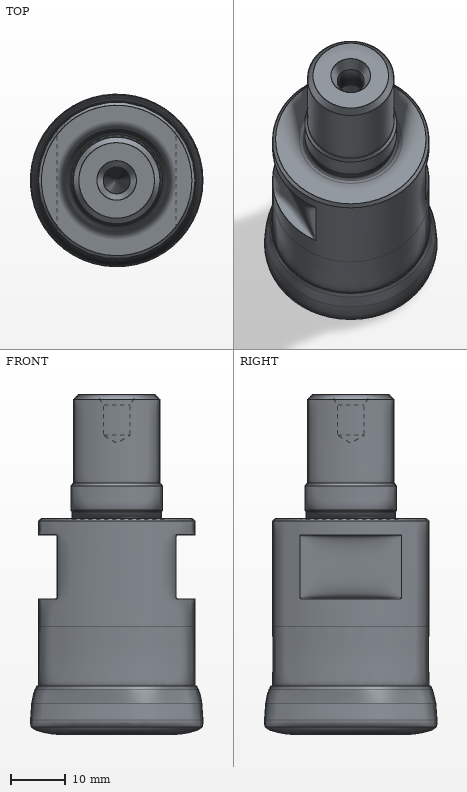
import cadquery as cq
import math

total_height = 63.0
cap_height = 9.0
waist_top = 20.0
shoulder_height = 40.0

barrel_radius = 14.5
waist_bottom_radius = barrel_radius + 0.03
barrel_chamfer_width = 0.55
barrel_chamfer_height = 0.5

relief_outer_radius = 9.5
relief_inner_radius = 8.8
relief_depth = 0.2
neck_radius = 8.25
neck_fillet_height = 0.45

collar_radius = 8.5
collar_bottom = 41.2
collar_lower_chamfer_height = 0.4
collar_top = 46.55
collar_upper_chamfer_height = 0.55
shank_radius = 8.0
shank_chamfer_width = 1.0

centre_hole_radius = 2.49
countersink_radius = 3.65
countersink_half_angle = 30.0
centre_hole_depth = 7.55
drill_half_angle = 59.0

flat_distance = 11.0
flat_bottom = 25.15
flat_top = 37.0
flat_corner_radius = 0.25

cap_rim_radius = 14.75
cap_shoulder_radius = 15.1
cap_shoulder_height = 8.3
cap_side_radius = 15.75
cap_side_height = 5.8
cap_max_radius = 15.97
cap_max_height = 2.7
cap_edge_radius = 15.8
cap_edge_height = 1.4
dome_radius = 14.9
dome_height = 0.8
bottom_face_radius = 10.1

cap_side_bulge = 0.095
cap_edge_bulge = 0.05


def bulged_middle(start, end, bulge):
    """Middle point of an arc that bows outward, to the right of its direction of travel."""
    run = end[0] - start[0]
    rise = end[1] - start[1]
    chord = math.hypot(run, rise)
    middle_x = (start[0] + end[0]) / 2 + bulge * rise / chord
    middle_z = (start[1] + end[1]) / 2 - bulge * run / chord
    return (middle_x, middle_z)


def revolve_about_z(profile):
    return profile.close().revolve(360, (0, 0, 0), (0, 1, 0))


def make_holder_blank():
    profile = (
        cq.Workplane("XZ")
        .moveTo(0, cap_height)
        .lineTo(waist_bottom_radius, cap_height)
        .lineTo(barrel_radius, waist_top)
        .lineTo(barrel_radius, shoulder_height - barrel_chamfer_height)
        .lineTo(barrel_radius - barrel_chamfer_width, shoulder_height)
        .lineTo(relief_outer_radius, shoulder_height)
        .lineTo(relief_inner_radius, shoulder_height - relief_depth)
        .tangentArcPoint(
            (neck_radius, shoulder_height - relief_depth + neck_fillet_height), relative=False
        )
        .lineTo(neck_radius, collar_bottom)
        .lineTo(collar_radius, collar_bottom + collar_lower_chamfer_height)
        .lineTo(collar_radius, collar_top - collar_upper_chamfer_height)
        .lineTo(shank_radius, collar_top)
        .lineTo(shank_radius, total_height - shank_chamfer_width)
        .lineTo(shank_radius - shank_chamfer_width, total_height)
        .lineTo(0, total_height)
    )
    return revolve_about_z(profile)


def make_centre_hole():
    countersink_depth = (countersink_radius - centre_hole_radius) / math.tan(
        math.radians(countersink_half_angle)
    )
    drill_tip_depth = centre_hole_radius / math.tan(math.radians(drill_half_angle))
    hole_bottom = total_height - centre_hole_depth
    profile = (
        cq.Workplane("XZ")
        .moveTo(0, total_height)
        .lineTo(countersink_radius, total_height)
        .lineTo(centre_hole_radius, total_height - countersink_depth)
        .lineTo(centre_hole_radius, hole_bottom)
        .lineTo(0, hole_bottom - drill_tip_depth)
    )
    return revolve_about_z(profile)


def make_flat_cutter(side):
    """Block that cuts one wrench flat; side is -1 or +1 along X."""
    depth = barrel_radius
    inner_face = "<X" if side > 0 else ">X"
    return (
        cq.Workplane("XY")
        .box(depth, 2 * barrel_radius, flat_top - flat_bottom)
        .faces(inner_face)
        .edges("|Y")
        .fillet(flat_corner_radius)
        .translate((side * (flat_distance + depth / 2), 0, (flat_bottom + flat_top) / 2))
    )


def make_holder():
    body = make_holder_blank().cut(make_centre_hole())
    for side in (-1, 1):
        body = body.cut(make_flat_cutter(side))
    return body


def make_cap():
    edge = (cap_edge_radius, cap_edge_height)
    widest = (cap_max_radius, cap_max_height)
    side = (cap_side_radius, cap_side_height)
    shoulder = (cap_shoulder_radius, cap_shoulder_height)

    profile = (
        cq.Workplane("XZ")
        .lineTo(bottom_face_radius, 0)
        .tangentArcPoint((dome_radius, dome_height), relative=False)
        .lineTo(*edge)
        .threePointArc(bulged_middle(edge, widest, cap_edge_bulge), widest)
        .lineTo(*side)
        .threePointArc(bulged_middle(side, shoulder, cap_side_bulge), shoulder)
        .lineTo(cap_rim_radius, cap_height)
        .lineTo(0, cap_height)
    )
    return revolve_about_z(profile)


holder = make_holder()
cap = make_cap()
result = cq.Compound.makeCompound([holder.val(), cap.val()])